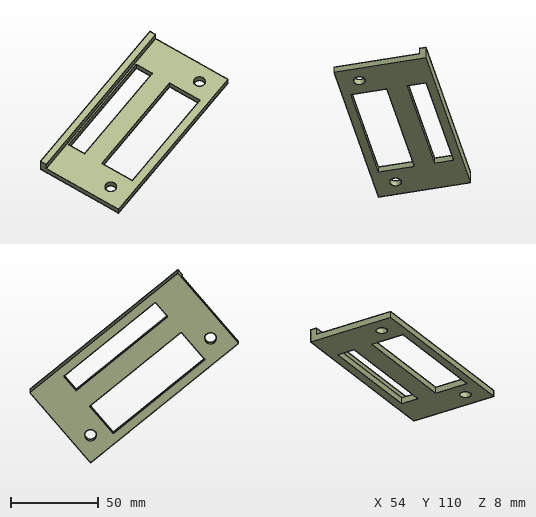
import cadquery as cq

length = 110.0
width = 54.0
lip_height = 8.0
lip_width = 4.0
plate_thickness = 4.0

window_length = 68.0
narrow_window_width = 11.0
narrow_window_offset = 5.1
wide_window_width = 21.0
wide_window_margin = 5.0

hole_diameter = 6.6
hole_edge_distance = 12.5
hole_spacing = 89.1

left = -width / 2
right = width / 2


def window(x_start, window_width):
    """Through cutter for a window whose -X side is at x_start."""
    return (
        cq.Workplane("XY")
        .center(x_start + window_width / 2, 0)
        .rect(window_width, window_length)
        .extrude(plate_thickness)
    )


body = (
    cq.Workplane("XZ")
    .moveTo(left, 0)
    .lineTo(right, 0)
    .lineTo(right, plate_thickness)
    .lineTo(left + lip_width, plate_thickness)
    .lineTo(left + lip_width, lip_height)
    .lineTo(left, lip_height)
    .close()
    .extrude(length / 2, both=True)
)

narrow_window = window(left + narrow_window_offset, narrow_window_width)
wide_window = window(right - wide_window_margin - wide_window_width, wide_window_width)

hole_x = right - hole_edge_distance
holes = (
    cq.Workplane("XY")
    .pushPoints([(hole_x, side * hole_spacing / 2) for side in (-1, 1)])
    .circle(hole_diameter / 2)
    .extrude(plate_thickness)
)

result = body.cut(narrow_window).cut(wide_window).cut(holes)